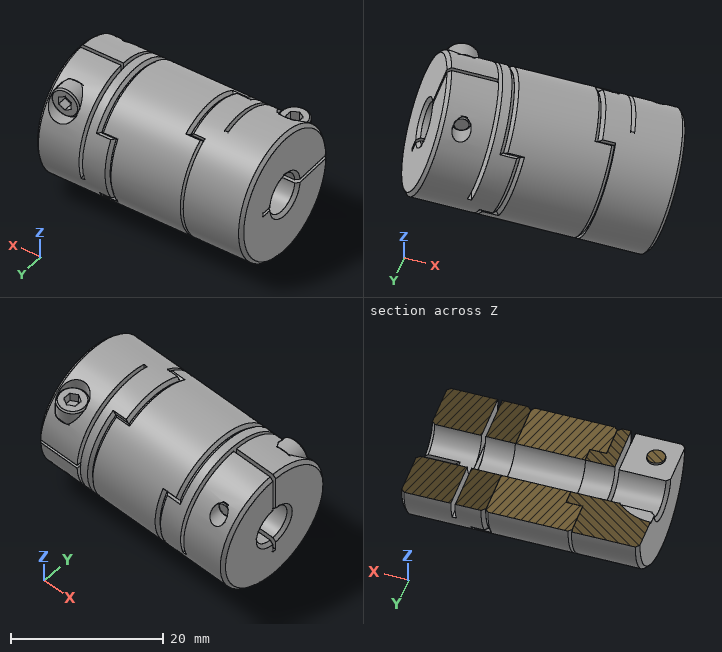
import cadquery as cq
import math

LENGTH = 33.0
RADIUS = 10.0
BORE_RADIUS = 3.0
EDGE_CHAMFER = 0.5

FLOOR_DEPTH = 9.35
TIP_DEPTH = 11.65
TONGUE_WIDTH = RADIUS
DISK_CHAMFER = 0.45

CUT_WIDTH = 0.55
CROSS_CUT_X = 7.0
CROSS_CUT_Y = 3.0
SLIT_END_Y = 5.0
SAW_RADIUS = CROSS_CUT_X

SCREW_X = 3.0
SCREW_Y = -6.55
SHANK_RADIUS = 1.25
HEAD_RADIUS = 2.25
HEAD_POCKET_RADIUS = 2.3
HEAD_SEAT_Z = 5.0
HEAD_HEIGHT = 2.48
SHANK_LENGTH = 11.42
HEAD_CHAMFER = 0.23
TIP_CHAMFER = 0.25
HEXAGON_SIDES = 6
SOCKET_FLATS = 2.0
SOCKET_DEPTH = 1.5

END_X = -LENGTH / 2
FLOOR_X = END_X + FLOOR_DEPTH
TIP_X = END_X + TIP_DEPTH
TONGUE_HEIGHT = TIP_DEPTH - FLOOR_DEPTH
TOLERANCE = 0.003
ENDS = ("left", "right")


def cylinder_x(radius, x_start, x_end):
    """Cylinder on the X axis between two stations."""
    return cq.Workplane("YZ", origin=(x_start, 0, 0)).circle(radius).extrude(x_end - x_start)


def block(x_range, y_range, z_range):
    """Axis-aligned block between three pairs of limits."""
    corner = (x_range[0], y_range[0], z_range[0])
    size = [limits[1] - limits[0] for limits in (x_range, y_range, z_range)]
    return cq.Workplane("XY").box(*size, centered=False).translate(corner)


def cylinder_z(radius, z_start, z_end):
    """Cylinder on the clamp screw axis between two heights."""
    base = cq.Workplane("XY", origin=(END_X + SCREW_X, SCREW_Y, z_start))
    return base.circle(radius).extrude(z_end - z_start)


def place_at_end(body, end):
    """Keep a left-end body in place, or mirror it to the right end and turn it so the tongues cross."""
    if end == "left":
        return body
    return body.mirror("YZ").rotate((0, 0, 0), (1, 0, 0), -90)


def tongue():
    """Bar along Z that stands on the left hub floor and fills the groove of the disk."""
    half_width = TONGUE_WIDTH / 2
    return block((FLOOR_X, TIP_X), (-half_width, half_width), (-RADIUS, RADIUS))


def clamp_cuts():
    """Cross cut behind the clamping half, and the slit through the bore that ends in a saw arc."""
    cross_cut_x = END_X + CROSS_CUT_X
    cross_cut = block((cross_cut_x, cross_cut_x + CUT_WIDTH), (-RADIUS, CROSS_CUT_Y), (-RADIUS, RADIUS))
    half_cut = CUT_WIDTH / 2
    slit = block((END_X, cross_cut_x), (-RADIUS, 0), (-half_cut, half_cut))
    saw_disk = (
        cq.Workplane("XY", origin=(END_X, SLIT_END_Y - SAW_RADIUS, -half_cut))
        .circle(SAW_RADIUS)
        .extrude(CUT_WIDTH)
    )
    return cross_cut.union(slit).union(saw_disk)


def screw_hole():
    """Through hole for the shank with a round pocket for the head."""
    pocket = cylinder_z(HEAD_POCKET_RADIUS, HEAD_SEAT_Z, RADIUS)
    return cylinder_z(SHANK_RADIUS, -RADIUS, RADIUS).union(pocket)


def make_hub():
    """Left clamp hub, its slit opening toward -Y and its tongue running along Z."""
    half_width = TONGUE_WIDTH / 2
    hub = cylinder_x(RADIUS, END_X, TIP_X).faces("<X or >X").chamfer(EDGE_CHAMFER)
    for y_range in ((-RADIUS, -half_width), (half_width, RADIUS)):
        hub = hub.cut(block((FLOOR_X, TIP_X), y_range, (-RADIUS, RADIUS)))
    floor_rim = cq.selectors.BoxSelector(
        (FLOOR_X - TOLERANCE, -RADIUS - TOLERANCE, -RADIUS),
        (FLOOR_X + TOLERANCE, -half_width - TOLERANCE, RADIUS),
    )
    hub = hub.edges(floor_rim).edges("%CIRCLE").chamfer(EDGE_CHAMFER)
    bore = cylinder_x(BORE_RADIUS, END_X, TIP_X)
    mouth = cq.Solid.makeCone(
        BORE_RADIUS + EDGE_CHAMFER,
        BORE_RADIUS,
        EDGE_CHAMFER,
        pnt=cq.Vector(END_X, 0, 0),
        dir=cq.Vector(1, 0, 0),
    )
    return hub.cut(bore).cut(cq.Workplane(mouth)).cut(clamp_cuts()).cut(screw_hole())


def make_disk():
    """Cross disk with a groove for each tongue, every outer edge of its ends chamfered."""
    disk = cylinder_x(RADIUS, FLOOR_X, -FLOOR_X)
    for end in ENDS:
        disk = disk.cut(place_at_end(tongue(), end))

    def on_rim(edge):
        ends = (edge.startPoint(), edge.endPoint())
        outside = all(abs(math.hypot(p.y, p.z) - RADIUS) < TOLERANCE for p in ends)
        is_arc = edge.geomType() == "CIRCLE"
        return outside and (is_arc or abs(edge.Length() - TONGUE_HEIGHT) < TOLERANCE)

    rim = disk.edges().filter(on_rim)
    return rim.chamfer(DISK_CHAMFER).cut(cylinder_x(BORE_RADIUS, FLOOR_X, -FLOOR_X))


def make_screw():
    """Left clamp screw, its socket head seated in the pocket and facing +Z."""
    head_top_z = HEAD_SEAT_Z + HEAD_HEIGHT
    tip_z = HEAD_SEAT_Z - SHANK_LENGTH
    head = cylinder_z(HEAD_RADIUS, HEAD_SEAT_Z, head_top_z).edges(">Z").chamfer(HEAD_CHAMFER)
    shank = cylinder_z(SHANK_RADIUS, tip_z, HEAD_SEAT_Z).edges("<Z").chamfer(TIP_CHAMFER)
    corner_diameter = SOCKET_FLATS / math.cos(math.pi / HEXAGON_SIDES)
    socket = (
        cq.Workplane("XY", origin=(END_X + SCREW_X, SCREW_Y, head_top_z))
        .transformed(rotate=(0, 0, 180 / HEXAGON_SIDES))
        .polygon(HEXAGON_SIDES, corner_diameter)
        .extrude(-SOCKET_DEPTH)
    )
    return head.union(shank).cut(socket)


disk = make_disk()
hubs = [place_at_end(make_hub(), end) for end in ENDS]
screws = [place_at_end(make_screw(), end) for end in ENDS]

result = cq.Compound.makeCompound([disk.val(), *[body.val() for body in hubs + screws]])